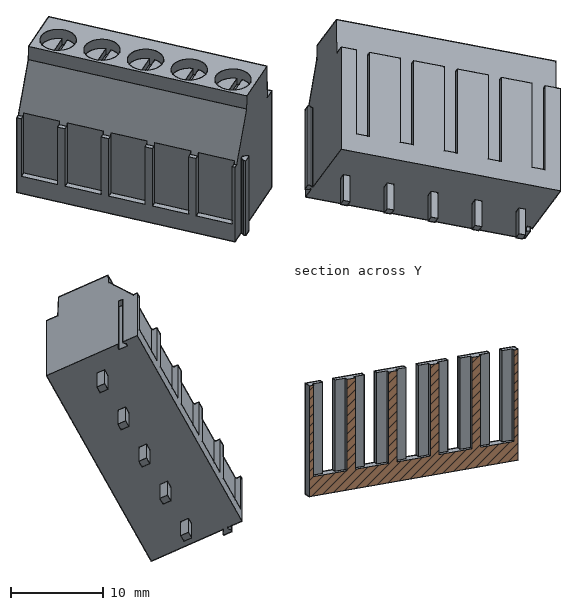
import cadquery as cq


pole_count = 5
pole_pitch = 5.08
body_length = pole_count * pole_pitch
first_pole = 2.55
pole_centres = [first_pole + index * pole_pitch for index in range(pole_count)]

body_depth = 11.0
body_height = 17.05
front_ledge_height = 9.93
front_ledge_depth = 0.5
slope_top_height = 15.37
slope_top_setback = 3.46
brow_draft = 0.08
back_ledge_height = 12.82
back_ledge_depth = 1.35
back_wall_draft = 0.1

screw_diameter = 3.93
screw_setback = 5.85
screw_recess = 1.22
driver_slot_width = 0.6
driver_slot_depth = 0.78

pocket_width = 4.2
pocket_depth = 0.68
pocket_bottom = 2.3
pocket_height = 8.0
pocket_offset = 0.1

tee_width = 3.99
tee_stem_width = 1.5
tee_stem_depth = 0.6
tee_bottom = pocket_bottom

overall_length = 26.05
key_projection = overall_length - body_length
key_neck_length = 0.1
key_flare_end = 0.42
key_neck_width = 0.52
key_head_width = 1.02
key_setback = 2.03

pin_width = 0.78
pin_thickness = 0.95
pin_length = 3.23


def block(x_centre, width, y_start, y_end, z_start, z_end):
    """Box centred on x_centre in X and spanning the given Y and Z ranges."""
    size = (width, y_end - y_start, z_end - z_start)
    corner = (x_centre - width / 2, y_start, z_start)
    return cq.Workplane("XY").box(*size, centered=False).translate(corner)


def make_housing():
    profile = [
        (0, 0),
        (0, front_ledge_height),
        (front_ledge_depth, front_ledge_height),
        (slope_top_setback, slope_top_height),
        (slope_top_setback + brow_draft, body_height),
        (body_depth - back_ledge_depth - back_wall_draft, body_height),
        (body_depth - back_ledge_depth, back_ledge_height),
        (body_depth, back_ledge_height),
        (body_depth, 0),
    ]
    return cq.Workplane("YZ").polyline(profile).close().extrude(body_length)


def make_screw_recess(x_centre):
    """Round well down to the screw head, with the driver slot across the head."""
    head_height = body_height - screw_recess
    well = (
        cq.Workplane("XY", origin=(x_centre, screw_setback, head_height))
        .circle(screw_diameter / 2)
        .extrude(screw_recess)
    )
    slot_bar = block(
        x_centre, driver_slot_width,
        screw_setback - screw_diameter / 2, screw_setback + screw_diameter / 2,
        head_height - driver_slot_depth, head_height,
    )
    head_cylinder = (
        cq.Workplane("XY", origin=(x_centre, screw_setback, head_height - driver_slot_depth))
        .circle(screw_diameter / 2)
        .extrude(driver_slot_depth)
    )
    return well.union(slot_bar.intersect(head_cylinder))


def make_wire_pocket(x_centre):
    pocket_top = pocket_bottom + pocket_height
    return block(x_centre + pocket_offset, pocket_width, 0, pocket_depth, pocket_bottom, pocket_top)


def make_tee_slot(x_centre):
    bar_front = body_depth - back_ledge_depth
    bar_back = body_depth - tee_stem_depth
    bar = block(x_centre, tee_width, bar_front, bar_back, tee_bottom, back_ledge_height)
    stem = block(x_centre, tee_stem_width, bar_back, body_depth, tee_bottom, back_ledge_height)
    return bar.union(stem)


def make_pin(x_centre):
    y_centre = body_depth / 2
    return block(
        x_centre, pin_width,
        y_centre - pin_thickness / 2, y_centre + pin_thickness / 2,
        -pin_length, 0,
    )


def make_dovetail(x_root):
    """Upright dovetail bar growing in +X from the plane X = x_root."""
    half_neck = key_neck_width / 2
    half_head = key_head_width / 2
    outline = [
        (0, -half_neck),
        (key_neck_length, -half_neck),
        (key_flare_end, -half_head),
        (key_projection, -half_head),
        (key_projection, half_head),
        (key_flare_end, half_head),
        (key_neck_length, half_neck),
        (0, half_neck),
    ]
    return (
        cq.Workplane("XY", origin=(x_root, key_setback, 0))
        .polyline(outline)
        .close()
        .extrude(front_ledge_height)
    )


result = make_housing()
for pole_x in pole_centres:
    result = (
        result.cut(make_screw_recess(pole_x))
        .cut(make_wire_pocket(pole_x))
        .cut(make_tee_slot(pole_x))
        .union(make_pin(pole_x))
    )
result = result.cut(make_dovetail(0)).union(make_dovetail(body_length))